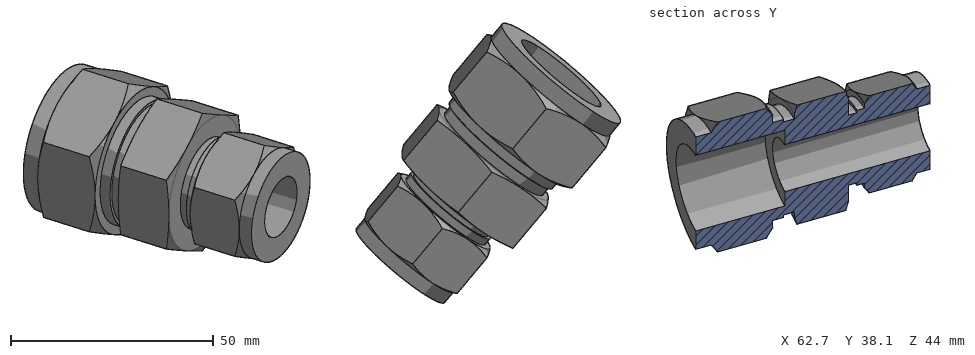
import cadquery as cq
import math


WIDE_NUT_START = 4.15
WIDE_NUT_END = 20.65
WIDE_COLLAR_END = 23.5
BODY_START = 26.35
BODY_END = 40.9
NARROW_COLLAR_START = 43.1
NARROW_NUT_START = 45.1
NARROW_NUT_END = 59.2
LENGTH = 62.7

HEXAGON_SIDES = 6
WIDE_NUT_FLATS = 38.1
BODY_FLATS = 34.95
NARROW_NUT_FLATS = 28.55
NUT_CHAMFER_ANGLE = 30.0
BODY_CHAMFER_ANGLE = 15.0

WIDE_COLLAR_DIAMETER = 33.25
WIDE_NECK_DIAMETER = 31.6
NARROW_NECK_DIAMETER = 23.85
NARROW_COLLAR_DIAMETER = 25.45

SOCKET_DIAMETER = 25.4
SOCKET_DEPTH = 23.85
BORE_DIAMETER = 15.75


def cylinder(start, end, diameter):
    """Solid cylinder along X between two stations."""
    return cq.Workplane("YZ", origin=(start, 0, 0)).circle(diameter / 2).extrude(end - start)


def chamfered_hexagon(start, end, across_flats, chamfer_angle):
    """Hexagonal prism with corners on +Z and -Z, its corners turned down conically at both ends."""
    flat_radius = across_flats / 2
    corner_radius = flat_radius / math.cos(math.pi / HEXAGON_SIDES)
    chamfer_length = (corner_radius - flat_radius) * math.tan(math.radians(chamfer_angle))
    prism = (
        cq.Workplane("YZ", origin=(start, 0, 0))
        .transformed(rotate=(0, 0, 90))
        .polygon(HEXAGON_SIDES, 2 * corner_radius)
        .extrude(end - start)
    )
    turned_blank = (
        cq.Workplane("XY")
        .moveTo(start, 0)
        .lineTo(start, flat_radius)
        .lineTo(start + chamfer_length, corner_radius)
        .lineTo(end - chamfer_length, corner_radius)
        .lineTo(end, flat_radius)
        .lineTo(end, 0)
        .close()
        .revolve(360, (0, 0, 0), (1, 0, 0))
    )
    return prism.intersect(turned_blank)


wide_nut = chamfered_hexagon(WIDE_NUT_START, WIDE_NUT_END, WIDE_NUT_FLATS, NUT_CHAMFER_ANGLE)
wide_nut = wide_nut.union(cylinder(0, WIDE_NUT_START, WIDE_NUT_FLATS))
narrow_nut = chamfered_hexagon(NARROW_NUT_START, NARROW_NUT_END, NARROW_NUT_FLATS, NUT_CHAMFER_ANGLE)
narrow_nut = narrow_nut.union(cylinder(NARROW_NUT_END, LENGTH, NARROW_NUT_FLATS))

body = chamfered_hexagon(BODY_START, BODY_END, BODY_FLATS, BODY_CHAMFER_ANGLE)
necks = [
    (WIDE_NUT_END, WIDE_COLLAR_END, WIDE_COLLAR_DIAMETER),
    (WIDE_COLLAR_END, BODY_START, WIDE_NECK_DIAMETER),
    (BODY_END, NARROW_COLLAR_START, NARROW_NECK_DIAMETER),
    (NARROW_COLLAR_START, NARROW_NUT_START, NARROW_COLLAR_DIAMETER),
]
for start, end, diameter in necks:
    body = body.union(cylinder(start, end, diameter))

fitting = wide_nut.union(body).union(narrow_nut)
result = fitting.cut(cylinder(0, SOCKET_DEPTH, SOCKET_DIAMETER)).cut(cylinder(0, LENGTH, BORE_DIAMETER))